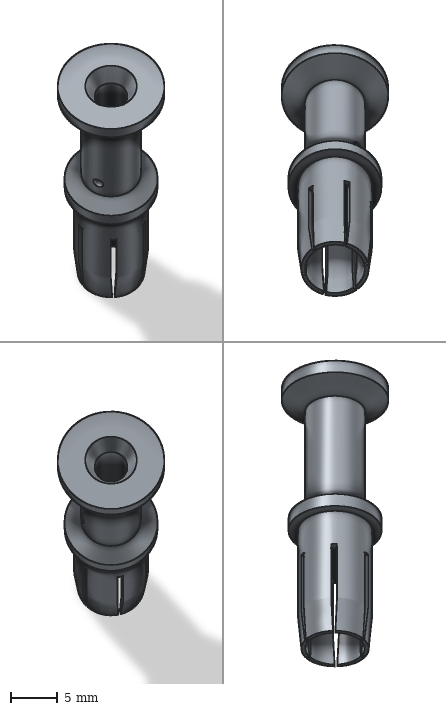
import cadquery as cq
import math

total_height = 33.0
collar_bottom = 14.98
collar_rim_height = 1.52
flange_thickness = 1.5
tip_taper_height = 4.0

flange_radius = 5.75
stem_radius = 3.25
collar_radius = 5.0
body_radius = 4.0
tip_radius = 3.63
shoulder_angle = 30.0

mouth_radius = 2.77
bore_radius = 1.75
mouth_half_angle = 30.0
drill_half_angle = 59.0
bore_floor = 18.8

cross_hole_diameter = 1.2
cross_hole_height = 19.5

socket_wall = 0.8
socket_depth = 10.8
slot_count = 6
slot_width = 0.63
slot_tip_width = 0.25


def make_body():
    """Revolve the outer profile about Z."""
    shoulder_slope = math.tan(math.radians(shoulder_angle))
    flange_bottom = total_height - flange_thickness
    stem_top = flange_bottom - (flange_radius - stem_radius) * shoulder_slope
    collar_rim_top = collar_bottom + collar_rim_height
    stem_bottom = collar_rim_top + (collar_radius - stem_radius) * shoulder_slope
    profile = [
        (0, 0),
        (tip_radius, 0),
        (body_radius, tip_taper_height),
        (body_radius, collar_bottom),
        (collar_radius, collar_bottom),
        (collar_radius, collar_rim_top),
        (stem_radius, stem_bottom),
        (stem_radius, stem_top),
        (flange_radius, flange_bottom),
        (flange_radius, total_height),
        (0, total_height),
    ]
    return cq.Workplane("XZ").polyline(profile).close().revolve(360, (0, 0), (0, 1))


def make_bore():
    """Countersunk blind bore with a drill-point floor."""
    mouth_depth = (mouth_radius - bore_radius) / math.tan(math.radians(mouth_half_angle))
    point_depth = bore_radius / math.tan(math.radians(drill_half_angle))
    profile = [
        (0, bore_floor - point_depth),
        (bore_radius, bore_floor),
        (bore_radius, total_height - mouth_depth),
        (mouth_radius, total_height),
        (0, total_height),
    ]
    return cq.Workplane("XZ").polyline(profile).close().revolve(360, (0, 0), (0, 1))


def make_cross_hole():
    """Radial hole from the -Y side to the bore axis."""
    return (
        cq.Workplane("XZ")
        .center(0, cross_hole_height)
        .circle(cross_hole_diameter / 2)
        .extrude(stem_radius)
    )


def make_socket():
    """Straight blind socket in the slotted end, as deep as the slots."""
    return cq.Workplane("XY").circle(body_radius - socket_wall).extrude(socket_depth)


def make_slot(angle):
    """One radial slot, pinched toward the tip."""
    outline = [
        (-slot_tip_width / 2, 0),
        (-slot_width / 2, tip_taper_height),
        (-slot_width / 2, socket_depth),
        (slot_width / 2, socket_depth),
        (slot_width / 2, tip_taper_height),
        (slot_tip_width / 2, 0),
    ]
    slot = cq.Workplane("YZ").polyline(outline).close().extrude(body_radius)
    return slot.rotate((0, 0, 0), (0, 0, 1), angle)


result = make_body().cut(make_bore()).cut(make_cross_hole()).cut(make_socket())
for index in range(slot_count):
    result = result.cut(make_slot(index * 360 / slot_count))